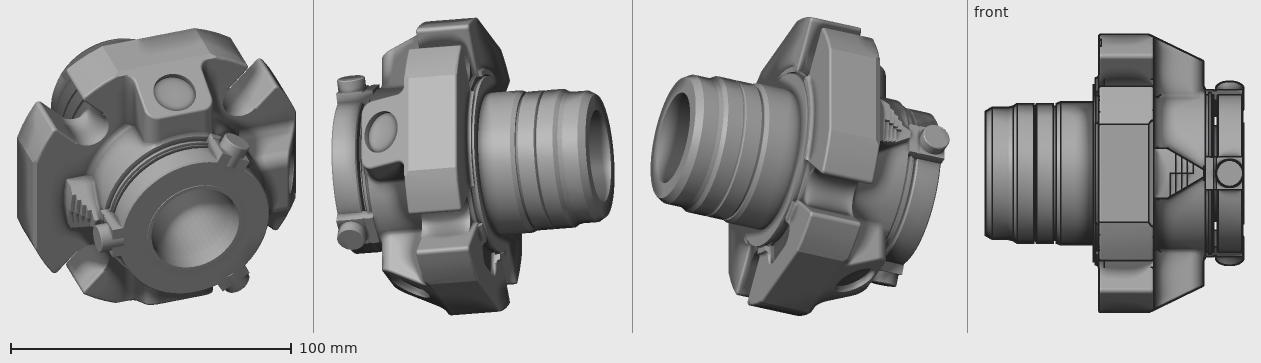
import cadquery as cq
import math

overall_length = 92.0
across_flats = 99.1

bore_d = 33.0
end_d = 44.0
pilot_d = 47.1
relief_d = 47.7
land_d = 49.6
seat_d = 50.9
collar_d = 63.0
collar_x = 38.5
collar_width = 0.9
collar_hub_d = 61.4

flange_front = 40.4
flange_back = 60.0
flange_d = 105.0
edge_round = 0.9
slot_width = 14.1
slot_end_radius = 40.3
slot_corner_round = 1.4
gap_d = 64.2
front_step = 2.0
spigot_d = 65.6
spigot_front = 40.9
front_step_x = flange_front + front_step

rim_d = 68.0
rim_height = 1.3

recess_half_width = 9.9
recess_reach = 39.6
recess_corner = 4.7
recess_mouth_round = 0.8
recess_floor_round = 0.6

body_d = 60.1
body_end = 78.4
body_root_round = 2.0
slope_start = 58.1
boss_end = 77.8
boss_end_height = 40.0
boss_half_width = 12.8
boss_root_round = 3.0
boss_corner_round = 4.5
boss_edge_round = 0.9
boss_base_round = 1.9
boss_turns = (0, 180, -90)
port_d = 15.4
port_depth = 2.5
port_x = 69.5

arrow_top_radius = 38.6
arrow_step_height = 1.4
arrow_step_length = 2.03
arrow_step_count = 4
arrow_first_step = 65.9
arrow_half_width = 8.9
arrow_shoulder = 64.9
arrow_tip_half_width = 1.4
arrow_base_round = 1.0

neck_d = 56.2
neck_end = 81.3
clip_d = 57.7
clip_start = 79.6
clip_width = 0.9
clip_groove_d = 54.2
ring_start = 82.5
ring_end = 91.7
ring_d = 56.2
ring_chamfer = 0.5
gap_sleeve_d = 34.0
sleeve_end_d = 35.8
tab_count = 3
tab_half_width = 5.8
tab_inner = 26.7
tab_outer = 31.0
tab_groove_depth = 0.3
tab_groove_width = 0.9
screw_d = 10.0
screw_top = 35.2
screw_chamfer = 0.3

half_flats = across_flats / 2
arc_middle = 1 - math.sqrt(0.5)
pick_margin = 0.1
slope_run = boss_end - slope_start
slope_angle = math.degrees(math.atan2(half_flats - boss_end_height, slope_run))


def turned(points):
    """Solid of revolution about X from (x, radius) points."""
    closed = [(points[0][0], 0)] + points + [(points[-1][0], 0)]
    return cq.Workplane("XY").polyline(closed).close().revolve(360, (0, 0, 0), (1, 0, 0))


def disc(x_from, x_to, diameter):
    return cq.Workplane("YZ").workplane(offset=x_from).circle(diameter / 2).extrude(x_to - x_from)


def around_x(shape, angle):
    return shape.rotate((0, 0, 0), (1, 0, 0), angle)


def radial_slab(x_from, x_to, inner, outer, width):
    """Box standing on +Z, from one radius to another."""
    slab = cq.Workplane("XY").box(x_to - x_from, width, outer - inner, centered=(False, True, False))
    return slab.translate((x_from, 0, inner))


def make_sleeve():
    stations = [
        (0, end_d),
        (2.6, pilot_d),
        (8.3, pilot_d),
        (9.9, relief_d),
        (11.4, land_d),
        (17.2, land_d),
        (17.2, relief_d),
        (17.7, relief_d),
        (18.3, land_d),
        (24.2, land_d),
        (24.2, relief_d),
        (25.3, relief_d),
        (25.3, land_d),
        (26.8, seat_d),
        (collar_x, seat_d),
        (collar_x, collar_d),
        (collar_x + collar_width, collar_d),
        (collar_x + collar_width, collar_hub_d),
        (front_step_x, collar_hub_d),
    ]
    return turned([(x, d / 2) for x, d in stations])


def middle_radius(edge):
    """Distance of an edge's midpoint from the turning axis."""
    middle = edge.positionAt(0.5)
    return math.hypot(middle.y, middle.z)


def is_lobe_edge(edge):
    """True for the outer edges and slot walls, not for the slot floors."""
    return middle_radius(edge) > slot_end_radius + pick_margin


def is_face_edge(edge):
    """True for every front edge of the lobes but the arcs around the inner gap."""
    return middle_radius(edge) > gap_d / 2 + pick_margin


def cut_four(shape, cutter):
    """Cut the same shape at the four diagonals between the flats."""
    for quarter in range(4):
        shape = shape.cut(around_x(cutter, 45 + 90 * quarter))
    return shape


def make_flange():
    reach = flange_d
    slot = radial_slab(flange_front, flange_back, slot_end_radius, reach, slot_width)
    flange = cut_four(disc(flange_front, flange_back, flange_d), slot)

    tip_radius = flange_d / 2 - slot_width / 4
    tips = flange.edges("|X").filter(lambda e: middle_radius(e) > tip_radius)
    flange = tips.fillet(slot_corner_round)
    flange = flange.faces(">X").edges().filter(is_lobe_edge).fillet(edge_round)

    slot_end = cq.Workplane("YZ").workplane(offset=flange_front).center(0, slot_end_radius)
    flange = cut_four(flange, slot_end.circle(slot_width / 2).extrude(flange_back - flange_front))
    flange = cut_four(flange, radial_slab(flange_front, front_step_x, 0, reach, slot_width))
    flange = flange.cut(disc(flange_front, front_step_x, gap_d))

    square = cq.Workplane("YZ").workplane(offset=flange_front).rect(across_flats, across_flats)
    envelope = square.extrude(slope_start - flange_front)
    envelope = envelope.faces(">X").wires().toPending().extrude(slope_run, taper=slope_angle)
    flange = flange.intersect(envelope)

    lobe_edges = flange.faces("<X").edges().filter(is_face_edge)
    return lobe_edges.fillet(edge_round)


def make_rim():
    top = flange_front - rim_height
    rim_r = rim_d / 2
    middle = rim_height * arc_middle
    rim = (
        cq.Workplane("XY")
        .moveTo(front_step_x, gap_d / 2)
        .lineTo(top, gap_d / 2)
        .lineTo(top, rim_r)
        .threePointArc((flange_front - middle, rim_r + middle), (flange_front, rim_r + rim_height))
        .lineTo(front_step_x, rim_r + rim_height)
        .close()
        .revolve(360, (0, 0, 0), (1, 0, 0))
    )
    opening = radial_slab(top, front_step_x, 0, flange_d / 2, slot_width + 2 * edge_round)
    return cut_four(rim, opening)


def make_recess():
    top = flange_front - rim_height
    pocket = radial_slab(top, front_step_x, collar_hub_d / 2 - edge_round, recess_reach, 2 * recess_half_width)
    pocket = pocket.edges("|X and >Z").fillet(recess_corner)
    pocket = pocket.faces(">X").edges().fillet(recess_floor_round)
    return around_x(pocket, 180)


def is_mouth_edge(edge):
    """True for the edges where the drain recess opens on the flange face."""
    middle = edge.Center()
    on_face = abs(middle.x - flange_front) < pick_margin
    in_width = abs(middle.y) < recess_half_width + pick_margin
    return on_face and in_width and -recess_reach - pick_margin < middle.z < pick_margin - gap_d / 2


def make_root_ring():
    """Concave round where the cylindrical body leaves the flange."""
    r = body_d / 2
    middle = body_root_round * arc_middle
    return (
        cq.Workplane("XY")
        .moveTo(flange_back - body_root_round, r - body_root_round)
        .lineTo(flange_back - body_root_round, r + body_root_round)
        .lineTo(flange_back, r + body_root_round)
        .threePointArc((flange_back + middle, r + middle), (flange_back + body_root_round, r))
        .lineTo(flange_back + body_root_round, r - body_root_round)
        .close()
        .revolve(360, (0, 0, 0), (1, 0, 0))
    )


def make_boss(flared):
    """Boss on +Z with a sloping top; the flared one widens into the flange with a round."""
    w = boss_half_width
    root = boss_root_round
    corner = boss_corner_round
    root_mid = root * arc_middle
    corner_mid = corner * arc_middle
    outline = cq.Workplane("XY").moveTo(slope_start, 0)
    if flared:
        outline = (
            outline.lineTo(slope_start, w + root)
            .lineTo(flange_back, w + root)
            .threePointArc((flange_back + root_mid, w + root_mid), (flange_back + root, w))
        )
    else:
        outline = outline.lineTo(slope_start, w)
    outline = (
        outline.lineTo(boss_end - corner, w)
        .threePointArc((boss_end - corner_mid, w - corner_mid), (boss_end, w - corner))
        .lineTo(boss_end, 0)
        .mirrorX()
    )
    side = cq.Workplane("XZ").polyline(
        [(slope_start, 0), (slope_start, half_flats), (boss_end, boss_end_height), (boss_end, 0)]
    )
    boss = outline.extrude(half_flats).intersect(side.close().extrude(half_flats, both=True))
    top_edges = boss.faces(">Z").edges().filter(lambda e: e.Center().x > flange_back)
    return top_edges.fillet(boss_edge_round)


def is_base_edge(edge):
    """True for edges on the body cylinder along the sides of a raised feature."""
    ends = (edge.positionAt(0), edge.positionAt(1))
    on_body = all(abs(math.hypot(p.y, p.z) - body_d / 2) < pick_margin for p in ends)
    x = edge.Center().x
    seam = edge.geomType() == "LINE" and abs(ends[0].z) < pick_margin
    return on_body and flange_back < x < boss_end - pick_margin and not seam


def make_port():
    port_height = half_flats - (port_x - slope_start) * math.tan(math.radians(slope_angle))
    port = cq.Workplane("XY").circle(port_d / 2).extrude(2 * port_depth).translate((0, 0, -port_depth))
    return port.rotate((0, 0, 0), (0, 1, 0), slope_angle).translate((port_x, 0, port_height))


def make_stairs(first_step):
    """Round stairs, stepping down towards the arrow tip."""
    radius = arrow_top_radius
    x = first_step
    points = [(flange_back, radius), (x, radius)]
    for step in range(arrow_step_count):
        radius -= arrow_step_height
        points.append((x, radius))
        x = boss_end if step == arrow_step_count - 1 else x + arrow_step_length
        points.append((x, radius))
    return turned(points)


def make_arrow():
    lower = make_stairs(arrow_first_step)
    upper = make_stairs(arrow_first_step + arrow_step_length)
    arrow = None
    for side, stairs in ((1, upper), (-1, lower)):
        outline = [
            (flange_back, 0),
            (flange_back, side * arrow_half_width),
            (arrow_shoulder, side * arrow_half_width),
            (boss_end, side * arrow_tip_half_width),
            (boss_end, 0),
        ]
        half = cq.Workplane("XZ").polyline(outline).close().extrude(half_flats).intersect(stairs)
        arrow = half if arrow is None else arrow.union(half)
    return arrow


def make_clamp():
    clip_end = clip_start + clip_width
    stations = [
        (body_end, neck_d),
        (clip_start, neck_d),
        (clip_start, clip_d),
        (clip_end, clip_d),
        (clip_end, clip_groove_d),
        (clip_end + clip_width / 2, clip_groove_d),
        (clip_end + clip_width / 2, neck_d),
        (neck_end, neck_d),
        (neck_end, gap_sleeve_d),
        (ring_start, gap_sleeve_d),
        (ring_start, ring_d - 2 * ring_chamfer),
        (ring_start + ring_chamfer, ring_d),
        (ring_end - ring_chamfer, ring_d),
        (ring_end, ring_d - 2 * ring_chamfer),
        (ring_end, sleeve_end_d),
        (overall_length, sleeve_end_d),
    ]
    clamp = turned([(x, d / 2) for x, d in stations])

    tab = radial_slab(body_end, ring_end, tab_inner, tab_outer, 2 * tab_half_width)
    groove_floor = tab_outer - tab_groove_depth
    groove_end = neck_end + tab_groove_width
    tab = tab.cut(radial_slab(neck_end, groove_end, groove_floor, tab_outer, 2 * tab_half_width))
    screw = cq.Workplane("XY").circle(screw_d / 2).extrude(screw_top - tab_inner)
    screw = screw.faces(">Z").chamfer(screw_chamfer)
    tab = tab.union(screw.translate((overall_length - screw_d / 2, 0, tab_inner)))
    for index in range(tab_count):
        clamp = clamp.union(around_x(tab, 90 + index * 360 / tab_count))
    return clamp


recess = make_recess()
flange = make_flange().cut(recess)
flange = flange.edges().filter(is_mouth_edge).fillet(recess_mouth_round)
flange = flange.union(make_rim().cut(recess))
flange = flange.union(disc(spigot_front, front_step_x, spigot_d).cut(recess))

body = disc(front_step_x, body_end, body_d)
bossed_body = body.union(make_boss(flared=False)).edges().filter(is_base_edge).fillet(boss_base_round)
bossed_body = bossed_body.union(make_boss(flared=True))
arrowed_body = body.union(make_arrow()).edges().filter(is_base_edge).fillet(arrow_base_round)
gland = arrowed_body.union(make_root_ring())
for turn in boss_turns:
    gland = gland.union(around_x(bossed_body, turn))

result = flange.union(gland)
port = make_port()
for turn in boss_turns:
    result = result.cut(around_x(port, turn))
result = result.union(make_clamp()).union(make_sleeve())
result = result.cut(disc(0, overall_length, bore_d))